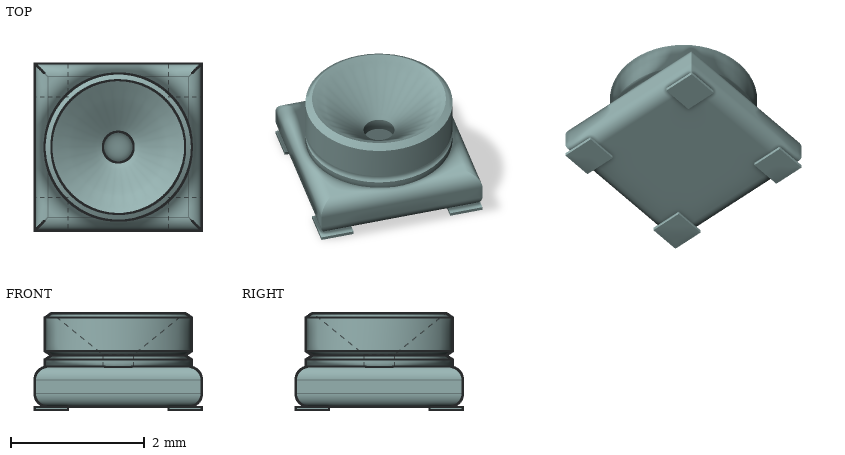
import cadquery as cq

base_side = 2.5
pad_side = 0.5
pad_thickness = 0.05

base_height = 0.6
base_edge_radius = 0.2
base_top_z = pad_thickness + base_height

total_height = 1.45
cup_radius = 1.1
bevel_width = 0.1
top_bevel_height = 0.07
groove_half_height = 0.0625
groove_z = 0.8175
cup_neck_radius = cup_radius - bevel_width

funnel_mouth_radius = cup_neck_radius
hole_radius = 0.46 / 2
funnel_bottom_z = 0.83
hole_floor_z = base_top_z


def make_base():
    """Square block with all top and bottom edges rounded and sharp upright corners."""
    block = cq.Workplane("XY").box(base_side, base_side, base_height, centered=(True, True, False))
    rounded = block.faces("<Z or >Z").edges().fillet(base_edge_radius)
    return rounded.translate((0, 0, pad_thickness))


def make_cup():
    """Solid turned cup with a V groove near its foot and a bevelled rim."""
    foot_z = base_top_z - base_edge_radius
    return (
        cq.Workplane("XZ")
        .moveTo(0, foot_z)
        .lineTo(cup_radius, foot_z)
        .lineTo(cup_radius, groove_z - groove_half_height)
        .lineTo(cup_neck_radius, groove_z)
        .lineTo(cup_radius, groove_z + groove_half_height)
        .lineTo(cup_radius, total_height - top_bevel_height)
        .lineTo(cup_neck_radius, total_height)
        .lineTo(0, total_height)
        .close()
        .revolve()
    )


def make_funnel():
    """Space of the conical mouth and the straight blind hole below it."""
    return (
        cq.Workplane("XZ")
        .moveTo(0, hole_floor_z)
        .lineTo(hole_radius, hole_floor_z)
        .lineTo(hole_radius, funnel_bottom_z)
        .lineTo(funnel_mouth_radius, total_height)
        .lineTo(0, total_height)
        .close()
        .revolve()
    )


def make_pad(x_side, y_side):
    """Thin square pad flush with one corner of the base's outline."""
    offset = (base_side - pad_side) / 2
    pad = cq.Workplane("XY").box(pad_side, pad_side, pad_thickness, centered=(True, True, False))
    return pad.translate((x_side * offset, y_side * offset, 0))


housing = make_base().union(make_cup()).cut(make_funnel()).solids()
pads = [make_pad(x_side, y_side) for x_side in (-1, 1) for y_side in (-1, 1)]

result = cq.Compound.makeCompound([housing.val(), *[pad.val() for pad in pads]])